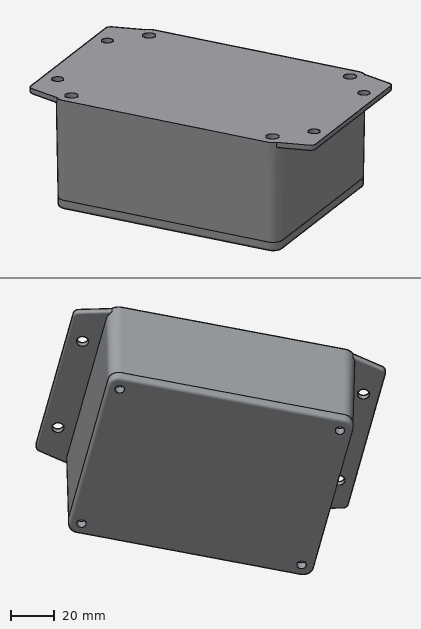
import cadquery as cq
import math

flange_length = 147.0
box_width = 91.7
total_height = 55.0

box_length = 117.0
draft_angle = 1.0
corner_radius = 5.9
lid_height = 4.7
lid_edge_radius = 1.5

housing_height = total_height - lid_height
draft_inset = housing_height * math.tan(math.radians(draft_angle))

flange_thickness = 3.0
flange_end_width = 79.4
flange_side_angle = 15.0
flange_corner_radius = 2.8
flange_edge_radius = 0.9
flange_side_run = flange_length / 2 - (box_length / 2 - corner_radius)
flange_root_width = flange_end_width + 2 * flange_side_run * math.tan(math.radians(flange_side_angle))

mount_hole_diameter = 5.5
mount_hole_spacing_x = 132.3
mount_hole_spacing_y = 50.0
screw_hole_diameter = 6.0
screw_hole_spacing_x = 103.6
screw_hole_spacing_y = 77.9
screw_hole_end_diameter = screw_hole_diameter - 2 * draft_inset


def make_drafted_box():
    """Solid box that narrows downward, its corner radii shrinking with the draft."""
    outline = cq.Sketch().rect(box_length, box_width).vertices().fillet(corner_radius)
    return (
        cq.Workplane("XY", origin=(0, 0, total_height))
        .placeSketch(outline)
        .extrude(-housing_height, taper=draft_angle)
    )


def make_flange_plate():
    """Plate whose two ends reach out past the box, with rounded lower edges."""
    half_length = flange_length / 2
    half_end = flange_end_width / 2
    half_root = flange_root_width / 2
    root_x = half_length - flange_side_run
    outline = [
        (half_length, -half_end),
        (half_length, half_end),
        (root_x, half_root),
        (-root_x, half_root),
        (-half_length, half_end),
        (-half_length, -half_end),
        (-root_x, -half_root),
        (root_x, -half_root),
    ]
    return (
        cq.Workplane("XY", origin=(0, 0, total_height - flange_thickness))
        .polyline(outline)
        .close()
        .extrude(flange_thickness)
        .edges("|Z and (>X or <X)")
        .fillet(flange_corner_radius)
        .faces("<Z")
        .edges()
        .fillet(flange_edge_radius)
    )


def make_mount_holes():
    """Straight holes through the flanges."""
    return (
        cq.Workplane("XY", origin=(0, 0, total_height))
        .rect(mount_hole_spacing_x, mount_hole_spacing_y, forConstruction=True)
        .vertices()
        .circle(mount_hole_diameter / 2)
        .extrude(-flange_thickness)
    )


def make_housing_screw_holes():
    """Screw holes through the housing, narrowing downward with the draft."""
    return (
        cq.Workplane("XY", origin=(0, 0, total_height))
        .rect(screw_hole_spacing_x, screw_hole_spacing_y, forConstruction=True)
        .vertices()
        .circle(screw_hole_diameter / 2)
        .extrude(-housing_height, taper=draft_angle)
    )


def make_housing():
    body = make_drafted_box().union(make_flange_plate())
    return body.cut(make_mount_holes()).cut(make_housing_screw_holes())


def make_lid():
    """Straight-sided lid that closes the narrow end of the housing."""
    return (
        cq.Workplane("XY")
        .rect(box_length - 2 * draft_inset, box_width - 2 * draft_inset)
        .extrude(lid_height)
        .edges("|Z")
        .fillet(corner_radius - draft_inset)
        .faces("<Z")
        .edges()
        .fillet(lid_edge_radius)
        .faces(">Z")
        .workplane(origin=(0, 0, lid_height))
        .rect(screw_hole_spacing_x, screw_hole_spacing_y, forConstruction=True)
        .vertices()
        .hole(screw_hole_end_diameter)
    )


housing = make_housing()
lid = make_lid()

result = cq.Compound.makeCompound([housing.val(), lid.val()])